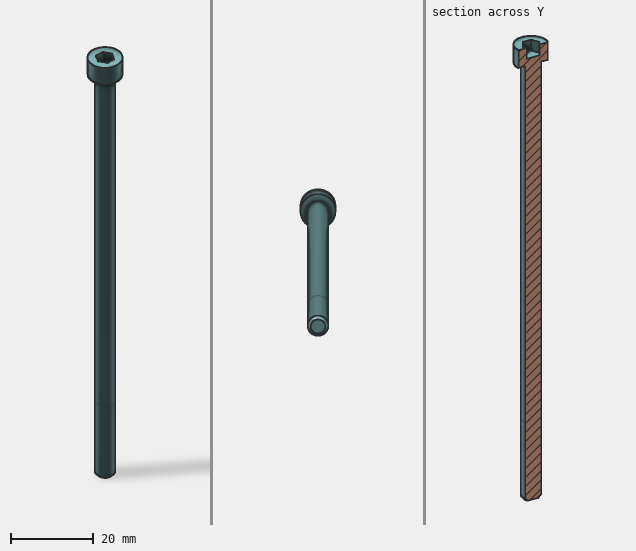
import cadquery as cq
import math

total_length = 125.0
head_diameter = 8.5
head_height = 5.0
shank_diameter = 5.0
thread_length = 22.0

tip_diameter = 3.5
tip_chamfer_height = 0.9
socket_across_flats = 4.0
socket_depth = 3.0

tip_z = head_height - total_length
thread_start_z = tip_z + thread_length


def make_head():
    return cq.Workplane("XY").circle(head_diameter / 2).extrude(head_height)


def make_plain_shank():
    return cq.Workplane("XY").circle(shank_diameter / 2).extrude(thread_start_z)


def make_threaded_end():
    """Smooth threaded portion with a conical tip, revolved about Z."""
    radius = shank_diameter / 2
    return (
        cq.Workplane("XZ")
        .moveTo(0, thread_start_z)
        .lineTo(radius, thread_start_z)
        .lineTo(radius, tip_z + tip_chamfer_height)
        .lineTo(tip_diameter / 2, tip_z)
        .lineTo(0, tip_z)
        .close()
        .revolve(360, (0, 0), (0, 1))
    )


def make_hex_socket():
    """Hexagonal recess with two corners on the X axis."""
    across_corners = socket_across_flats / math.cos(math.pi / 6)
    return (
        cq.Workplane("XY")
        .workplane(offset=head_height)
        .polygon(6, across_corners)
        .extrude(-socket_depth)
    )


shank = make_plain_shank().union(make_threaded_end(), clean=False)
result = make_head().union(shank, clean=False).cut(make_hex_socket(), clean=False)